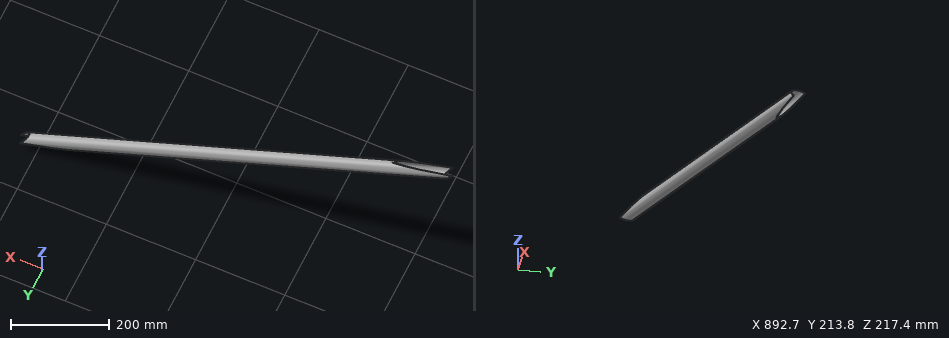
import cadquery as cq

tube_diameter = 30.0
wall = 1.0
heel_roll = -20
half_length = 462.5
rise_y = 0.213
drop_z = 0.231
heel_slope = 8.6
toe_slope = 1.4
skew_slope = 0.25

radius = tube_diameter / 2
overhang = radius * (toe_slope + skew_slope)
blank_length = 2 * (half_length + overhang)
cutter_size = 3 * (radius * heel_slope + overhang)


def tube_blank():
    """Straight tube centred on the origin, along local Z."""
    return (
        cq.Workplane("XY")
        .circle(radius)
        .circle(radius - wall)
        .extrude(blank_length / 2, both=True)
    )


def mitre_cutter(end, slope):
    """Block beyond the plane z = end * half_length + slope * x + skew_slope * y."""
    outward = cq.Vector(-slope * end, -skew_slope * end, end)
    plane = cq.Plane(
        origin=(0, 0, end * half_length),
        xDir=(1, 0, slope),
        normal=outward.toTuple(),
    )
    return cq.Workplane(plane).rect(cutter_size, cutter_size).extrude(cutter_size)


tube = tube_blank()
for end in (-1, 1):
    for slope in (heel_slope, -toe_slope):
        tube = tube.cut(mitre_cutter(end, slope))

axis = cq.Vector(1, rise_y, -drop_z).normalized()
across = cq.Vector(0, 1, rise_y / drop_z)
heel_facing = axis.cross(across)
inclined = cq.Plane(origin=(0, 0, 0), xDir=heel_facing.toTuple(), normal=axis.toTuple())
rolled = tube.rotate((0, 0, 0), (0, 0, 1), heel_roll)
result = cq.Workplane(rolled.val().moved(cq.Location(inclined)))